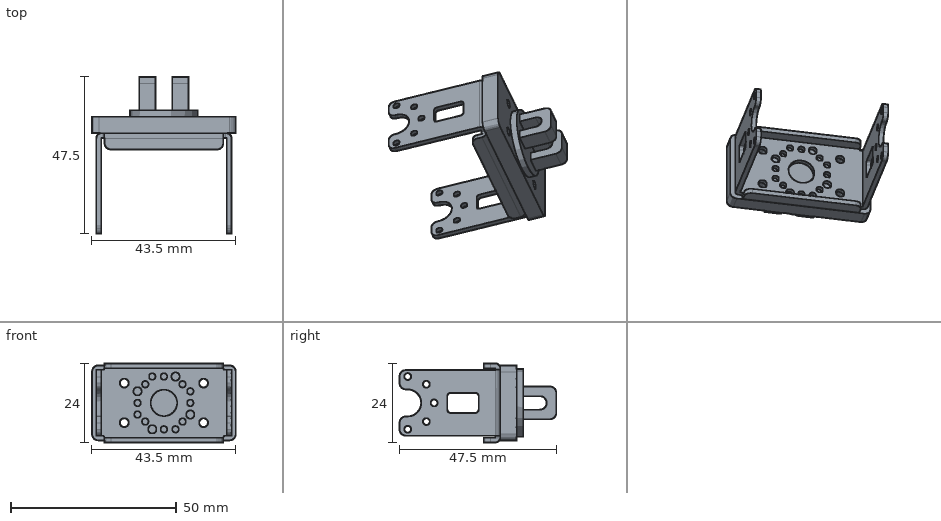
import cadquery as cq
import math


sheet = 1.5
bracket_width = 40.95
bracket_height = 24.0
arm_height = 19.95
flange_width = 36.0
flange_depth = 5.0
corner_radius = 2.0

pattern_radius = 8.0
small_hole = 2.0
large_hole = 2.5
hub_hole = 8.0
offset_hole_shift = 3.5

pattern_to_arm_tip = 2.5
notch_diameter = 8.08
mouth_flare = 0.05
prong_taper = 0.085
window_length = 9.4
window_height = 6.0
window_radius = 0.95
window_to_pattern = 16.7

mount_hole = 2.6
mount_spacing_x = 24.0
mount_spacing_z = 11.95

plate_width = 43.55
plate_height = 22.75
plate_thickness = 5.0
boss_diameter = 20.6
boss_thickness = 2.0
lug_thickness = 5.0
lug_gap = 5.05
lug_length = 10.0
lug_height = 9.98
lug_wall = 3.0

overall_length = 47.5
arm_length = overall_length - plate_thickness - boss_thickness - lug_length
pattern_y = pattern_to_arm_tip - arm_length

relief_radius = bracket_height / 2 - sheet - arm_height / 2


def box(width, depth, height, y_start):
    """Block centred in X and Z that runs from y_start toward +Y."""
    return cq.Workplane("XY").box(width, depth, height).translate((0, y_start + depth / 2, 0))


def cylinders(points, diameter, y_start, length):
    """Cylinders along +Y from y_start, at (x, z) points."""
    plane = cq.Workplane("XZ", origin=(0, y_start, 0))
    return plane.pushPoints(points).circle(diameter / 2).extrude(-length)


def quarter_turns(x, z):
    """The point (x, z) and its copies at 90, 180 and 270 degrees."""
    return [(x, z), (-z, x), (-x, -z), (z, -x)]


def circle_point(degrees):
    """Point on the screw circle."""
    angle = math.radians(degrees)
    return (pattern_radius * math.cos(angle), pattern_radius * math.sin(angle))


def mount_points():
    """Centres of the four mounting holes."""
    return [(x * mount_spacing_x / 2, z * mount_spacing_z / 2) for x in (-1, 1) for z in (-1, 1)]


def prong_block(base_height, tip_height):
    """Block across the bracket's width, from pattern_y to the arm tips, that changes height."""
    return (
        cq.Workplane("YZ")
        .polyline([
            (pattern_y, base_height / 2),
            (-arm_length, tip_height / 2),
            (-arm_length, -tip_height / 2),
            (pattern_y, -base_height / 2),
        ])
        .close()
        .extrude(bracket_width / 2, both=True)
    )


def make_arm_channel():
    """U-shaped strip: the back and both arms, with rounded outer bends and tapered tips."""
    channel = box(bracket_width, -pattern_y, arm_height, pattern_y)
    channel = channel.union(prong_block(arm_height, arm_height - 2 * prong_taper))
    channel = channel.edges("|Z and >Y").fillet(sheet)
    inside = box(bracket_width - 2 * sheet, arm_length, arm_height, -arm_length - sheet)
    return channel.cut(inside)


def make_flange_channel():
    """U-shaped strip: the back and both flanges, with rounded bends and tips."""
    channel = box(flange_width, flange_depth, bracket_height, -flange_depth)
    channel = channel.edges("|X and >Y").fillet(sheet)
    channel = channel.edges("|Z and <Y").fillet(corner_radius)
    inside = box(flange_width, flange_depth, bracket_height - 2 * sheet, -flange_depth - sheet)
    return channel.cut(inside)


def make_relief_panel():
    """Flat panel whose hollowed corners round the back where an arm's edge meets a flange."""
    centre_x = flange_width / 2 + relief_radius
    centre_z = arm_height / 2 + relief_radius
    panel = box(2 * centre_x, sheet, 2 * centre_z, -sheet)
    centres = [(x * centre_x, z * centre_z) for x in (-1, 1) for z in (-1, 1)]
    return panel.cut(cylinders(centres, 2 * relief_radius, -sheet, sheet))


def arm_cutter():
    """Open-ended notch, screw holes and window, cut through both arms at once."""
    notch = (
        cq.Workplane("YZ", origin=(0, pattern_y, 0))
        .circle(notch_diameter / 2)
        .extrude(bracket_width / 2, both=True)
    )
    mouth = prong_block(notch_diameter, notch_diameter + 2 * mouth_flare)
    holes = (
        cq.Workplane("YZ", origin=(0, pattern_y, 0))
        .pushPoints([circle_point(degrees) for degrees in (-90, -45, 0, 45, 90)])
        .circle(small_hole / 2)
        .extrude(bracket_width / 2, both=True)
    )
    window_start = pattern_y + window_to_pattern - window_length / 2
    window = box(bracket_width, window_length, window_height, window_start)
    window = window.edges("|X").fillet(window_radius)
    return notch.union(mouth).union(holes).union(window)


def back_cutter():
    """Hub hole, screw holes and mounting holes, cut through the back only."""
    small_points = [circle_point(degrees) for degrees in range(0, 360, 45)]
    small_points += quarter_turns(-offset_hole_shift, pattern_radius)
    large_points = quarter_turns(offset_hole_shift, pattern_radius)
    cutter = cylinders([(0, 0)], hub_hole, -sheet, sheet)
    for points, diameter in (
        (small_points, small_hole),
        (large_points, large_hole),
        (mount_points(), mount_hole),
    ):
        cutter = cutter.union(cylinders(points, diameter, -sheet, sheet))
    return cutter


def make_bracket():
    bracket = make_arm_channel().union(make_flange_channel()).union(make_relief_panel())
    bracket = bracket.cut(arm_cutter())
    bracket = bracket.faces("<Y").edges("|X").fillet(corner_radius)
    return bracket.cut(back_cutter())


def make_lug():
    """Lug centred on X = 0 with a round-ended slot that starts at the boss."""
    base_y = plate_thickness + boss_thickness
    lug = box(lug_thickness, lug_length, lug_height, base_y)
    lug = lug.edges("|X and >Y").fillet(corner_radius)
    slot_height = lug_height - 2 * lug_wall
    slot_end_y = base_y + lug_length - lug_wall - slot_height / 2
    slot = box(lug_thickness, slot_end_y - base_y, slot_height, base_y)
    slot_end = (
        cq.Workplane("YZ", origin=(0, slot_end_y, 0))
        .circle(slot_height / 2)
        .extrude(lug_thickness / 2, both=True)
    )
    return lug.cut(slot).cut(slot_end)


def make_adapter():
    adapter = box(plate_width, plate_thickness, plate_height, 0)
    adapter = adapter.edges("|Y").fillet(corner_radius)
    adapter = adapter.cut(cylinders(mount_points(), mount_hole, 0, plate_thickness))
    adapter = adapter.union(cylinders([(0, 0)], boss_diameter, plate_thickness, boss_thickness))
    for side in (-1, 1):
        lug_x = side * (lug_gap + lug_thickness) / 2
        adapter = adapter.union(make_lug().translate((lug_x, 0, 0)))
    return adapter


bracket = make_bracket()
adapter = make_adapter()
result = cq.Compound.makeCompound([bracket.val(), adapter.val()])